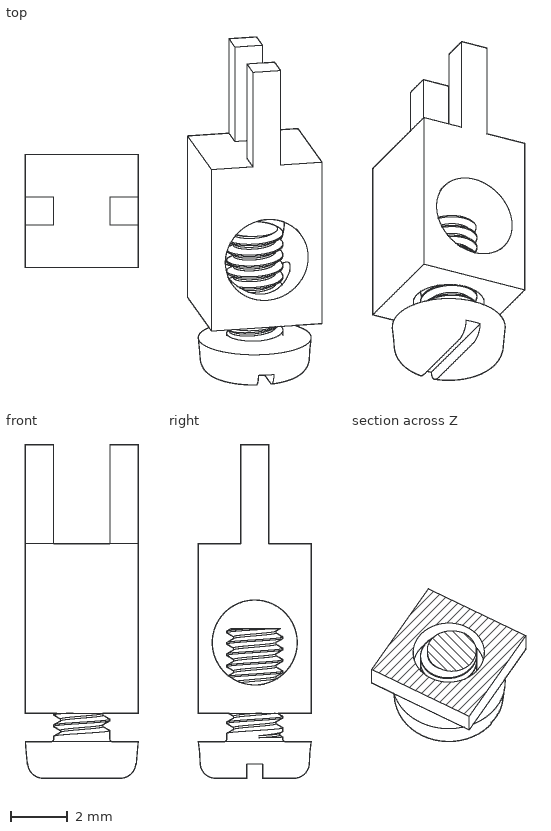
import cadquery as cq
import math

width = 4.0
total_height = 11.8
head_height = 1.3
head_gap = 1.0
block_height = 6.0
block_base = head_height + head_gap
block_top = block_base + block_height
leg_side = 1.0
leg_length = total_height - block_top
wire_bore_diameter = 3.0
wire_bore_rise = 2.5
screw_hole_diameter = 2.5

head_radius = width / 2
head_waist_radius = 1.94
head_edge_radius = 0.55
head_face_radius = head_waist_radius - head_edge_radius
slot_width = 0.55
slot_depth = 0.51
shank_radius = 2.0 / 2
shank_length = 4.0
screw_top = head_height + shank_length
neck_fillet = 0.1

pitch = 0.4
root_radius = 0.75
root_flat = 0.07
flank_angle = 30
blank_top = screw_top + 3 * pitch
thread_start_height = head_height + 0.37
cutter_clearance = 0.02
runout_steps = 6


def make_housing():
    block = cq.Workplane("XY").box(width, width, block_height, centered=(True, True, False))
    block = block.translate((0, 0, block_base))
    leg_offset = (width - leg_side) / 2
    for side in (-1, 1):
        leg = cq.Workplane("XY").box(leg_side, leg_side, leg_length, centered=(True, True, False))
        block = block.union(leg.translate((side * leg_offset, 0, block_top)))

    bore_height = block_base + wire_bore_rise
    wire_bore = (
        cq.Workplane("YZ", origin=(-width / 2, 0, bore_height))
        .circle(wire_bore_diameter / 2)
        .extrude(width)
    )
    screw_hole = (
        cq.Workplane("XY", origin=(0, 0, block_base))
        .circle(screw_hole_diameter / 2)
        .extrude(wire_bore_rise)
    )
    return block.cut(wire_bore).cut(screw_hole)


def make_screw_blank():
    diagonal = math.sqrt(0.5)
    edge_middle = (
        head_face_radius + head_edge_radius * diagonal,
        head_edge_radius * (1 - diagonal),
    )
    fillet_middle = neck_fillet * (1 - diagonal)
    return (
        cq.Workplane("XZ")
        .lineTo(head_face_radius, 0)
        .threePointArc(edge_middle, (head_waist_radius, head_edge_radius))
        .lineTo(head_radius, head_height)
        .lineTo(shank_radius + neck_fillet, head_height)
        .threePointArc(
            (shank_radius + fillet_middle, head_height + fillet_middle),
            (shank_radius, head_height + neck_fillet),
        )
        .lineTo(shank_radius, blank_top)
        .lineTo(0, blank_top)
        .close()
        .revolve(360, (0, 0, 0), (0, 1, 0))
    )


def groove_section(turn, tip_radius):
    """V section of the groove, a number of turns past the thread start on the -X side."""
    angle = math.pi + turn * 2 * math.pi
    height = thread_start_height + turn * pitch
    outer_radius = shank_radius + cutter_clearance
    root_half = root_flat / 2
    mouth_half = root_half + (outer_radius - tip_radius) * math.tan(math.radians(flank_angle))
    corners = [
        (tip_radius, -root_half),
        (outer_radius, -mouth_half),
        (outer_radius, mouth_half),
        (tip_radius, root_half),
    ]
    points = [
        cq.Vector(radius * math.cos(angle), radius * math.sin(angle), height + rise)
        for radius, rise in corners
    ]
    return cq.Wire.makePolygon(points, close=True)


def make_thread_groove():
    length = screw_top + pitch - thread_start_height
    helix = cq.Wire.makeHelix(pitch, length, root_radius)
    helix = helix.rotate(cq.Vector(0, 0, 0), cq.Vector(0, 0, 1), 180)
    helix = helix.translate(cq.Vector(0, 0, thread_start_height))
    return cq.Solid.sweep(groove_section(0, root_radius), [], helix, True, True)


def make_thread_runout():
    """Groove that grows shallower until it leaves the shank half a turn below the start."""
    fade = shank_radius + cutter_clearance / 2 - root_radius
    sections = []
    for step in range(runout_steps + 1):
        progress = step / runout_steps
        sections.append(groove_section(-progress / 2, root_radius + fade * progress))
    return cq.Solid.makeLoft(sections)


def make_screw():
    screw = make_screw_blank()
    slot = cq.Workplane("XY").box(width, slot_width, slot_depth, centered=(True, True, False))
    screw = screw.cut(slot)
    for groove in (make_thread_groove(), make_thread_runout()):
        screw = screw.cut(cq.Workplane("XY").newObject([groove]))
    spare_end = (
        cq.Workplane("XY", origin=(0, 0, screw_top))
        .circle(head_radius)
        .extrude(blank_top - screw_top)
    )
    return screw.cut(spare_end)


housing = make_housing()
screw = make_screw()
result = cq.Compound.makeCompound([*housing.vals(), *screw.solids().vals()])